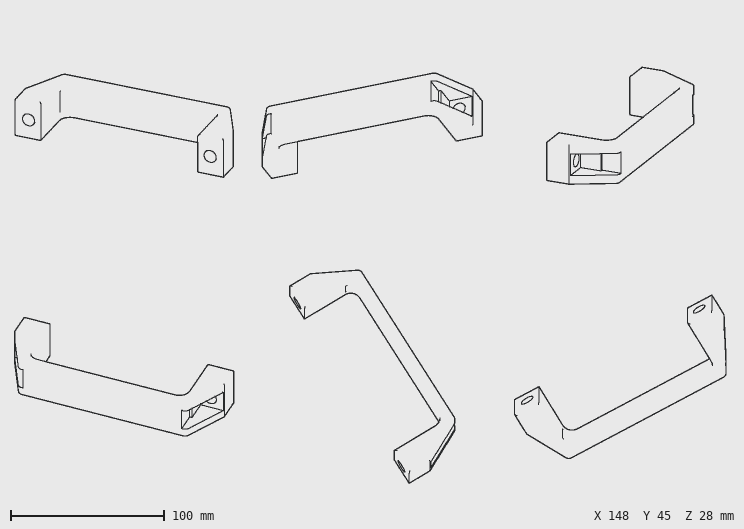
import cadquery as cq

length = 148.0
depth = 45.0
width = 28.0

leg_width = 18.5
grip_thickness = 7.0
leg_side_depth = 16.0
slope_run = 15.0
inner_radius = 7.0
shoulder_radius = 3.5
edge_radius = 1.5

hole_diameter = 8.6
hole_inset = 9.6
pocket_width = 15.0
entry_reach = 18.0
entry_depth = 13.5
seat_reach = 16.5
seat_depth = 28.1

half_length = length / 2
front_y = -depth / 2
back_y = depth / 2


def handle_body():
    """Bridge-shaped bar with rounded shoulders, inner corners and outline edges."""
    shoulder_x = half_length - slope_run
    leg_inner_x = half_length - leg_width
    grip_inner_y = back_y - grip_thickness
    right_half = [
        (shoulder_x, back_y),
        (half_length, front_y + leg_side_depth),
        (half_length, front_y),
        (leg_inner_x, front_y),
        (leg_inner_x, grip_inner_y),
    ]
    left_half = [(-x, y) for x, y in reversed(right_half)]
    body = (
        cq.Workplane("XY", origin=(0, 0, -width / 2))
        .polyline(right_half + left_half)
        .close()
        .extrude(width)
    )
    for corner_x, corner_y, radius in (
        (shoulder_x, back_y, shoulder_radius),
        (leg_inner_x, grip_inner_y, inner_radius),
    ):
        for side in (-1, 1):
            corner = cq.NearestToPointSelector((side * corner_x, corner_y, 0))
            body = body.edges("|Z").edges(corner).fillet(radius)
    return body.faces("<Z or >Z").edges().fillet(edge_radius)


def pocket_step(side, reach, step_depth):
    """Box open to the handle end and back face, for one step of a pocket."""
    center_x = side * (half_length - reach / 2)
    center_y = back_y - step_depth / 2
    return cq.Workplane("XY").box(reach, step_depth, pocket_width).translate((center_x, center_y, 0))


def screw_hole(side):
    """Hole along Y through one leg."""
    axis_x = side * (half_length - hole_inset)
    return (
        cq.Workplane("XZ", origin=(axis_x, back_y, 0))
        .circle(hole_diameter / 2)
        .extrude(depth)
    )


result = handle_body()
for end in (-1, 1):
    result = result.cut(pocket_step(end, entry_reach, entry_depth))
    result = result.cut(pocket_step(end, seat_reach, seat_depth))
    result = result.cut(screw_hole(end))